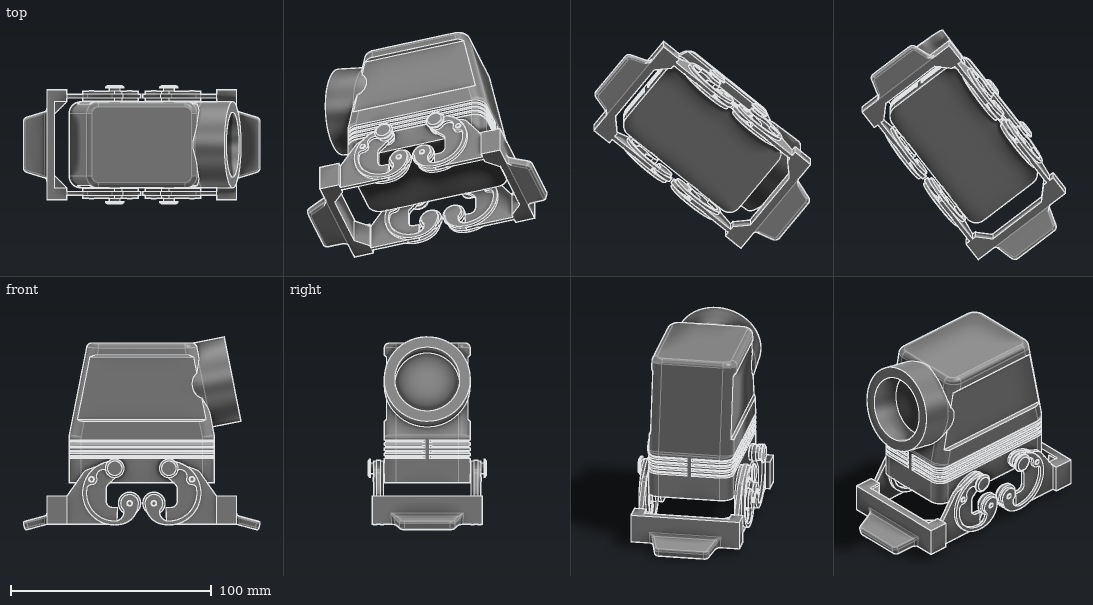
import cadquery as cq
import math

SELECT_MARGIN = 0.05
CUT_OVERRUN = 1.0

HOOD_LENGTH = 72.5
HOOD_WIDTH = 43.0
HOOD_HEIGHT = 69.8
KNEE_HEIGHT = 23.45
KNEE_RADIUS = 5.6
WALL_LEAN = 11.2
CORNER_RADIUS = 6.0
TOP_RADIUS = 2.7

RECESS_BOTTOM = 30.6
RECESS_TOP = 63.8
RECESS_DEPTH = 1.1

GROOVE_COUNT = 4
GROOVE_PITCH = 2.6
LOWEST_GROOVE = 12.9
GROOVE_WIDTH = 1.5
GROOVE_FLOOR = 0.3
GROOVE_DEPTH = 0.8
RIB_TIP_WIDTH = 2.4
RIB_ROOT_WIDTH = 5.0

ENTRY_X = 45.35
ENTRY_Z = 51.8
ENTRY_RADIUS = HOOD_WIDTH / 2
ENTRY_LENGTH = 15.0
ENTRY_END_RADIUS = 14.0
BORE_RADIUS = 16.2
BORE_DEPTH = 15.0

YOKE_OUTER_X = -47.35
YOKE_INNER_X = -37.3
YOKE_WALL = 3.9
YOKE_HALF_WIDTH = 27.5
YOKE_HALF_OPENING = 21.5
YOKE_TOP = -6.5
YOKE_BOTTOM = -20.71
GUSSET_DROP = 1.2

PLATE_INNER_Y = 23.25
PLATE_THICKNESS = 2.0
CHEEK_THICKNESS = 1.5
CHEEK_INNER_Y = PLATE_INNER_Y - CHEEK_THICKNESS
CHEEK_OUTER_Y = PLATE_INNER_Y + PLATE_THICKNESS + CHEEK_THICKNESS

PIN_X = -13.5
PIN_Z = 7.3
PIN_RADIUS = 2.75
PIN_BOSS_RADIUS = 3.6
PIN_DISC_RADIUS = 4.05
PIN_ROOT_Y = 20.0
HEAD_RADIUS = 4.65
HEAD_TIP_RADIUS = 3.6
HEAD_INNER_Y = 28.2
HEAD_CONE_Y = 28.7
HEAD_OUTER_Y = 29.5

RING_X = PIN_X
RING_Z = -5.0
RING_OUTER_RADIUS = 16.0
RING_INNER_RADIUS = 14.0
ROLLER_X = -6.07
ROLLER_Z = -10.15
ROLLER_RADIUS = 5.6
ROLLER_CHEEK_RADIUS = 4.4
HOOK_X = -12.14
HOOK_Z = -10.5
THROAT_RADIUS = 4.6
THROAT_END_ANGLE = 20.0
RIVET_X = -25.05
RIVET_Z = 1.8
RIVET_RADIUS = 1.4
RIVET_HEIGHT = 0.3
RIVET_LAND_RADIUS = 2.7
LAND_BLEND_RADIUS = 2.0
PIN_BLEND_RADIUS = 3.35

PLATE_ROOT = 1.0
PLATE_KNEE = (-28.4, 6.1)
PLATE_KNEE_RADIUS = 5.0
PLATE_LIP_X = -12.0
PLATE_LIP_Z = 3.8
PLATE_EDGE_X = -17.65
PLATE_MOUTH_TOP = -1.7
PLATE_MOUTH_BOTTOM = -12.15
PLATE_MOUTH_RADIUS = 3.0
PLATE_TIP_X = -12.0
PLATE_TIP_FOOT_X = -12.35

TAB_SLOPE = 15.0
TAB_LENGTH = 11.16
TAB_THICKNESS = 4.4
TAB_ROOT_HALF_WIDTH = 16.6
TAB_TIP_HALF_WIDTH = 13.3
TAB_CORNER_RADIUS = 2.5
TAB_EDGE_RADIUS = 1.0
TAB_FLARE_RADIUS = 1.5


def cylinder_y(x, z, radius, y_start, y_end):
    """Cylinder along Y between two distances in front of the XZ plane (towards -Y)."""
    plane = cq.Workplane("XZ", origin=(x, 0, z)).workplane(offset=y_start)
    return plane.circle(radius).extrude(y_end - y_start)


def polar(x, z, radius, degrees):
    angle = math.radians(degrees)
    return (x + radius * math.cos(angle), z + radius * math.sin(angle))


def hood_shell():
    half = HOOD_LENGTH / 2
    top_half = half - (HOOD_HEIGHT - KNEE_HEIGHT) * math.tan(math.radians(WALL_LEAN))
    outline = [
        (-half, 0),
        (half, 0),
        (half, KNEE_HEIGHT),
        (top_half, HOOD_HEIGHT),
        (-top_half, HOOD_HEIGHT),
        (-half, KNEE_HEIGHT),
    ]
    body = cq.Workplane("XZ").polyline(outline).close().extrude(HOOD_WIDTH / 2, both=True)
    knee_box = cq.selectors.BoxSelector(
        (-HOOD_LENGTH, -HOOD_WIDTH, KNEE_HEIGHT - SELECT_MARGIN),
        (HOOD_LENGTH, HOOD_WIDTH, KNEE_HEIGHT + SELECT_MARGIN),
    )
    body = body.edges(knee_box).edges("|Y").fillet(KNEE_RADIUS)
    body = body.edges("|Z").fillet(CORNER_RADIUS)
    return body.faces(">Z").edges().fillet(TOP_RADIUS)


def side_recess():
    wall = HOOD_WIDTH / 2
    floor = wall - RECESS_DEPTH
    outline = [
        (wall, RECESS_BOTTOM),
        (floor, RECESS_BOTTOM + RECESS_DEPTH),
        (floor, RECESS_TOP - RECESS_DEPTH),
        (wall, RECESS_TOP),
    ]
    cutter = cq.Workplane("YZ").polyline(outline).close().extrude(HOOD_LENGTH / 2, both=True)
    return cutter.union(cutter.mirror("XZ"))


def skirt_section(z, inset=0.0):
    plane = cq.Workplane("XY", origin=(0, 0, z))
    outline = cq.Sketch().rect(HOOD_LENGTH - 2 * inset, HOOD_WIDTH - 2 * inset)
    return plane.placeSketch(outline.vertices().fillet(CORNER_RADIUS - inset))


def grip_grooves():
    slope_height = (GROOVE_WIDTH - GROOVE_FLOOR) / 2
    slope_angle = math.degrees(math.atan(GROOVE_DEPTH / slope_height))
    cutters = cq.Workplane("XY")
    for index in range(GROOVE_COUNT):
        middle = LOWEST_GROOVE + index * GROOVE_PITCH
        bottom = middle - GROOVE_WIDTH / 2
        top = middle + GROOVE_WIDTH / 2
        band = cq.Workplane("XY", origin=(0, 0, bottom))
        band = band.rect(HOOD_LENGTH + CUT_OVERRUN, HOOD_WIDTH + CUT_OVERRUN).extrude(GROOVE_WIDTH)
        waist = skirt_section(bottom, GROOVE_DEPTH).extrude(GROOVE_WIDTH)
        lower_flank = skirt_section(bottom).extrude(slope_height, taper=slope_angle)
        upper_flank = skirt_section(top).extrude(-slope_height, taper=slope_angle)
        cutters = cutters.add(band.cut(waist).cut(lower_flank).cut(upper_flank))
    return cutters.combine().cut(end_ribs())


def end_ribs():
    outer = HOOD_LENGTH / 2
    root = outer - GROOVE_DEPTH
    outline = [
        (root, -RIB_ROOT_WIDTH / 2),
        (outer, -RIB_TIP_WIDTH / 2),
        (outer + CUT_OVERRUN, -RIB_TIP_WIDTH / 2),
        (outer + CUT_OVERRUN, RIB_TIP_WIDTH / 2),
        (outer, RIB_TIP_WIDTH / 2),
        (root, RIB_ROOT_WIDTH / 2),
    ]
    rib = cq.Workplane("XY").polyline(outline).close().extrude(KNEE_HEIGHT)
    return rib.union(rib.mirror("YZ"))


def entry_plane():
    lean = math.radians(WALL_LEAN)
    outward = (math.cos(lean), 0, math.sin(lean))
    return cq.Workplane(cq.Plane(origin=(ENTRY_X, 0, ENTRY_Z), xDir=(0, 1, 0), normal=outward))


def cable_entry():
    barrel = entry_plane().circle(ENTRY_RADIUS).extrude(-ENTRY_LENGTH - ENTRY_END_RADIUS)
    return barrel.faces("<X").edges().fillet(ENTRY_END_RADIUS)


def build_hood():
    hood = hood_shell().cut(side_recess()).cut(grip_grooves())
    bore = entry_plane().circle(BORE_RADIUS).extrude(-BORE_DEPTH)
    return hood.union(cable_entry()).cut(bore)


def yoke_with_tab():
    yoke_depth = YOKE_INNER_X - YOKE_OUTER_X
    opening_depth = yoke_depth - YOKE_WALL
    block_bottom = YOKE_BOTTOM - TAB_THICKNESS
    block = cq.Workplane("XY", origin=(YOKE_OUTER_X, 0, block_bottom))
    block = block.rect(yoke_depth, 2 * YOKE_HALF_WIDTH).extrude(YOKE_TOP - block_bottom)
    block = block.translate((yoke_depth / 2, 0, 0))

    wall_x = YOKE_OUTER_X + YOKE_WALL
    opening = cq.Workplane("XY", origin=(wall_x + opening_depth / 2, 0, block_bottom))
    opening = opening.rect(opening_depth, 2 * YOKE_HALF_OPENING).extrude(YOKE_TOP - block_bottom)

    yoke = block.union(grip_tab())
    root_box = cq.selectors.BoxSelector(
        (YOKE_OUTER_X - SELECT_MARGIN, -YOKE_HALF_OPENING, block_bottom + SELECT_MARGIN),
        (YOKE_OUTER_X + SELECT_MARGIN, YOKE_HALF_OPENING, YOKE_TOP - SELECT_MARGIN),
    )
    yoke = yoke.edges(root_box).fillet(TAB_FLARE_RADIUS)
    tip_box = cq.selectors.BoxSelector(
        (YOKE_OUTER_X - 2 * TAB_LENGTH, -TAB_ROOT_HALF_WIDTH, block_bottom),
        (YOKE_OUTER_X - TAB_LENGTH + TAB_CORNER_RADIUS, TAB_ROOT_HALF_WIDTH, YOKE_TOP),
    )
    yoke = yoke.edges(tip_box).edges("|Y").fillet(TAB_EDGE_RADIUS)
    return yoke.cut(opening).union(gussets()).cut(space_below_yoke())


def gussets():
    wall_x = YOKE_OUTER_X + YOKE_WALL
    leg = YOKE_INNER_X - wall_x
    corner = [
        (wall_x, -YOKE_HALF_OPENING),
        (wall_x + leg, -YOKE_HALF_OPENING),
        (wall_x, leg - YOKE_HALF_OPENING),
    ]
    gusset = cq.Workplane("XY", origin=(0, 0, YOKE_BOTTOM)).polyline(corner).close()
    gusset = gusset.extrude(YOKE_TOP - GUSSET_DROP - YOKE_BOTTOM)
    return gusset.union(gusset.mirror("XZ"))


def space_below_yoke():
    """Everything under the yoke floor and under the sloping lower face of the tab."""
    slope = math.radians(TAB_SLOPE)
    run = 2 * TAB_LENGTH
    left_x = YOKE_OUTER_X - run * math.cos(slope)
    left_z = YOKE_BOTTOM - run * math.sin(slope)
    outline = [
        (YOKE_INNER_X, YOKE_BOTTOM),
        (YOKE_OUTER_X, YOKE_BOTTOM),
        (left_x, left_z),
        (YOKE_INNER_X, left_z),
    ]
    return cq.Workplane("XZ").polyline(outline).close().extrude(YOKE_HALF_WIDTH, both=True)


def grip_tab():
    root_overlap = YOKE_WALL / 2
    flank_slope = (TAB_ROOT_HALF_WIDTH - TAB_TIP_HALF_WIDTH) / TAB_LENGTH
    buried_half_width = TAB_ROOT_HALF_WIDTH + root_overlap * flank_slope
    outline = [
        (root_overlap, -buried_half_width),
        (root_overlap, buried_half_width),
        (-TAB_LENGTH, TAB_TIP_HALF_WIDTH),
        (-TAB_LENGTH, -TAB_TIP_HALF_WIDTH),
    ]
    tab = cq.Workplane("XY").polyline(outline).close().extrude(TAB_THICKNESS)
    tab = tab.edges("|Z and <X").fillet(TAB_CORNER_RADIUS)
    tab = tab.rotate((0, 0, 0), (0, 1, 0), -TAB_SLOPE)
    return tab.translate((YOKE_OUTER_X, 0, YOKE_BOTTOM))


def arm_plate():
    outline = [
        (YOKE_INNER_X - PLATE_ROOT, YOKE_BOTTOM),
        (YOKE_INNER_X - PLATE_ROOT, YOKE_TOP),
        (YOKE_INNER_X, YOKE_TOP),
        PLATE_KNEE,
        disc_tangent_point(),
        (PLATE_LIP_X, PLATE_LIP_Z),
        (PLATE_EDGE_X, PLATE_MOUTH_TOP),
        (PLATE_EDGE_X, PLATE_MOUTH_BOTTOM),
        (PLATE_TIP_X, PLATE_MOUTH_BOTTOM),
        (PLATE_TIP_FOOT_X, YOKE_BOTTOM),
    ]
    plate = cq.Workplane("XZ").workplane(offset=PLATE_INNER_Y)
    plate = plate.polyline(outline).close().extrude(PLATE_THICKNESS)
    plate = round_y_edge(plate, PLATE_KNEE, PLATE_KNEE_RADIUS)
    plate = round_y_edge(plate, (PLATE_EDGE_X, PLATE_MOUTH_TOP), PLATE_MOUTH_RADIUS)
    return round_y_edge(plate, (PLATE_EDGE_X, PLATE_MOUTH_BOTTOM), PLATE_MOUTH_RADIUS)


def disc_tangent_point():
    """Where the upper edge of the plate runs tangent onto the pin disc."""
    knee_x, knee_z = PLATE_KNEE
    distance = math.hypot(knee_x - PIN_X, knee_z - PIN_Z)
    toward_knee = math.degrees(math.atan2(knee_z - PIN_Z, knee_x - PIN_X))
    turn = math.degrees(math.acos(PIN_DISC_RADIUS / distance))
    return polar(PIN_X, PIN_Z, PIN_DISC_RADIUS, toward_knee - turn)


def round_y_edge(solid, place, radius):
    x, z = place
    near = (x, -PLATE_INNER_Y - PLATE_THICKNESS / 2, z)
    return solid.edges("|Y").edges(cq.selectors.NearestToPointSelector(near)).fillet(radius)


def hook_tail():
    """Curl that runs from the lowest point of the ring round to the roller."""
    hook_bearing = math.degrees(math.atan2(HOOK_Z - RING_Z, HOOK_X - RING_X))
    roller_bearing = math.degrees(math.atan2(ROLLER_Z - HOOK_Z, ROLLER_X - HOOK_X))
    hook_radius = RING_OUTER_RADIUS - math.hypot(HOOK_X - RING_X, HOOK_Z - RING_Z)
    throat_z = RING_Z - RING_INNER_RADIUS + THROAT_RADIUS
    plane = cq.Workplane("XZ").workplane(offset=CHEEK_INNER_Y)
    tail = (
        plane.moveTo(RING_X, RING_Z - RING_INNER_RADIUS)
        .lineTo(RING_X, RING_Z - RING_OUTER_RADIUS)
        .threePointArc(
            polar(RING_X, RING_Z, RING_OUTER_RADIUS, (hook_bearing - 90) / 2),
            polar(RING_X, RING_Z, RING_OUTER_RADIUS, hook_bearing),
        )
        .threePointArc(
            polar(HOOK_X, HOOK_Z, hook_radius, (hook_bearing + roller_bearing) / 2),
            polar(HOOK_X, HOOK_Z, hook_radius, roller_bearing),
        )
        .lineTo(ROLLER_X, ROLLER_Z)
        .lineTo(*polar(RING_X, throat_z, THROAT_RADIUS, THROAT_END_ANGLE))
        .threePointArc(
            polar(RING_X, throat_z, THROAT_RADIUS, (THROAT_END_ANGLE - 90) / 2),
            (RING_X, RING_Z - RING_INNER_RADIUS),
        )
        .close()
    )
    return tail.extrude(CHEEK_OUTER_Y - CHEEK_INNER_Y)


def cheeks():
    """Two identical crescents, one on each face of the arm plate."""
    layer = cq.Workplane("XZ").workplane(offset=PLATE_INNER_Y)
    layer = layer.center(RING_X, RING_Z).rect(4 * RING_OUTER_RADIUS, 4 * RING_OUTER_RADIUS)
    return crescent().cut(layer.extrude(PLATE_THICKNESS))


def crescent():
    span = (CHEEK_INNER_Y, CHEEK_OUTER_Y)
    ring = cylinder_y(RING_X, RING_Z, RING_OUTER_RADIUS, *span)
    ring = ring.cut(cylinder_y(RING_X, RING_Z, RING_INNER_RADIUS, *span))
    right_half = cq.Workplane("XY").box(
        2 * RING_OUTER_RADIUS, 4 * CHEEK_OUTER_Y, 4 * RING_OUTER_RADIUS, centered=(False, True, True)
    )
    ring = ring.cut(right_half.translate((RING_X, 0, 0)))
    land = cylinder_y(RIVET_X, RIVET_Z, RIVET_LAND_RADIUS, *span)
    ring = ring.union(land.intersect(cylinder_y(RING_X, RING_Z, RING_OUTER_RADIUS, *span)))
    ring = round_y_edge(ring, land_foot(), LAND_BLEND_RADIUS)
    ring = ring.union(land_to_pin_web())
    ring = ring.union(cylinder_y(PIN_X, PIN_Z, PIN_BOSS_RADIUS, *span))
    ring = ring.union(cylinder_y(ROLLER_X, ROLLER_Z, ROLLER_CHEEK_RADIUS, *span))
    return ring.union(hook_tail())


def land_foot():
    """Lower point where the rivet land crosses the inner edge of the ring."""
    reach = math.hypot(RIVET_X - RING_X, RIVET_Z - RING_Z)
    toward_rivet = math.degrees(math.atan2(RIVET_Z - RING_Z, RIVET_X - RING_X))
    cosine = (RING_INNER_RADIUS**2 + reach**2 - RIVET_LAND_RADIUS**2) / (2 * RING_INNER_RADIUS * reach)
    spread = math.degrees(math.acos(cosine))
    return polar(RING_X, RING_Z, RING_INNER_RADIUS, toward_rivet + spread)


def land_to_pin_web():
    """Material between the rivet land and the pin boss, hollowed by an arc tangent to both."""
    land_reach = RIVET_LAND_RADIUS + PIN_BLEND_RADIUS
    boss_reach = PIN_BOSS_RADIUS + PIN_BLEND_RADIUS
    span = math.hypot(PIN_X - RIVET_X, PIN_Z - RIVET_Z)
    toward_pin = math.degrees(math.atan2(PIN_Z - RIVET_Z, PIN_X - RIVET_X))
    cosine = (land_reach**2 + span**2 - boss_reach**2) / (2 * land_reach * span)
    blend = polar(RIVET_X, RIVET_Z, land_reach, toward_pin - math.degrees(math.acos(cosine)))

    ring_middle = (RING_INNER_RADIUS + RING_OUTER_RADIUS) / 2
    toward_rivet = math.degrees(math.atan2(RIVET_Z - RING_Z, RIVET_X - RING_X))
    toward_blend = math.degrees(math.atan2(blend[1] - RING_Z, blend[0] - RING_X))
    outline = [
        (RIVET_X, RIVET_Z),
        polar(RING_X, RING_Z, ring_middle, toward_rivet),
        polar(RING_X, RING_Z, ring_middle, toward_blend),
        (RING_X, RING_Z + ring_middle),
        (PIN_X, PIN_Z),
        blend,
    ]
    web = cq.Workplane("XZ").workplane(offset=CHEEK_INNER_Y).polyline(outline).close()
    web = web.extrude(CHEEK_OUTER_Y - CHEEK_INNER_Y)
    return web.cut(cylinder_y(*blend, PIN_BLEND_RADIUS, CHEEK_INNER_Y, CHEEK_OUTER_Y))


def pivot_pin():
    profile = [
        (0, PIN_ROOT_Y),
        (PIN_RADIUS, PIN_ROOT_Y),
        (PIN_RADIUS, HEAD_INNER_Y),
        (HEAD_RADIUS, HEAD_INNER_Y),
        (HEAD_RADIUS, HEAD_CONE_Y),
        (HEAD_TIP_RADIUS, HEAD_OUTER_Y),
        (0, HEAD_OUTER_Y),
    ]
    pin = cq.Workplane("XY").polyline(profile).close().revolve(360, (0, 0, 0), (0, 1, 0))
    return pin.mirror("XZ").translate((PIN_X, 0, PIN_Z))


def rivet(x, z):
    stub = cylinder_y(x, z, RIVET_RADIUS, CHEEK_OUTER_Y - CHEEK_THICKNESS, CHEEK_OUTER_Y + RIVET_HEIGHT)
    return stub.faces("<Y").chamfer(RIVET_HEIGHT)


def lever_arm():
    plate_outer_y = PLATE_INNER_Y + PLATE_THICKNESS
    arm = arm_plate()
    arm = arm.union(cylinder_y(PIN_X, PIN_Z, PIN_DISC_RADIUS, PLATE_INNER_Y, plate_outer_y))
    arm = arm.union(cylinder_y(ROLLER_X, ROLLER_Z, ROLLER_RADIUS, PLATE_INNER_Y, plate_outer_y))
    arm = arm.union(cheeks())
    arm = arm.union(pivot_pin())
    arm = arm.union(rivet(RIVET_X, RIVET_Z))
    return arm.union(rivet(ROLLER_X, ROLLER_Z))


def build_lever():
    arm = lever_arm()
    return yoke_with_tab().union(arm).union(arm.mirror("XZ"))


lever = build_lever()
result = build_hood().union(lever).union(lever.mirror("YZ"))